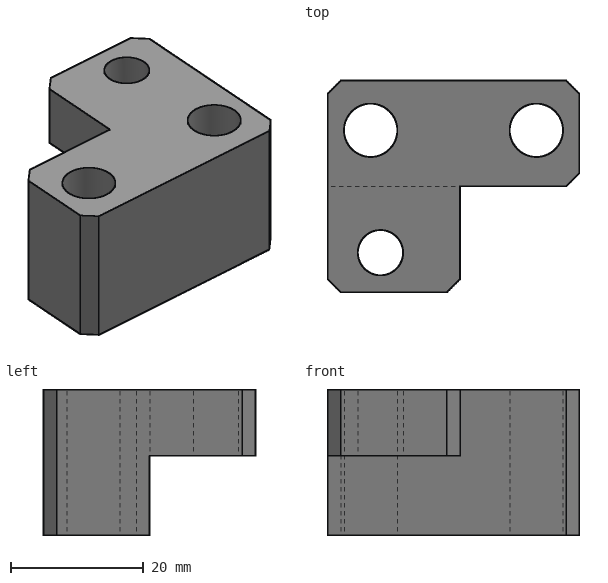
import cadquery as cq

length = 38.0
depth = 32.0
height = 22.0

bar_depth = 16.0
foot_width = 20.0
foot_thickness = 10.0
corner_chamfer = 2.0

bar_hole_diameter = 8.0
bar_hole_inset = 6.5
bar_hole_spacing = 25.0
bar_hole_from_back = 7.52
foot_hole_diameter = 6.8
foot_hole_x = 7.98
foot_hole_y = 6.0

bar_front = depth - bar_depth


def make_bar():
    """Full-height bar, chamfered everywhere except its front left edge."""
    bar = cq.Workplane("XY").box(length, bar_depth, height, centered=False)
    bar = bar.edges("|Z and (>X or >Y)").chamfer(corner_chamfer)
    return bar.translate((0, bar_front, 0))


def make_foot():
    """Thinner foot, flush with the top of the bar and chamfered at its front corners."""
    foot = cq.Workplane("XY").box(foot_width, bar_front, foot_thickness, centered=False)
    foot = foot.edges("|Z and <Y").chamfer(corner_chamfer)
    return foot.translate((0, 0, height - foot_thickness))


def make_hole(x, y, diameter):
    """Vertical cylinder that cuts through the whole height."""
    return cq.Workplane("XY").center(x, y).circle(diameter / 2).extrude(height)


result = make_bar().union(make_foot())

bar_hole_y = depth - bar_hole_from_back
for hole_x in (bar_hole_inset, bar_hole_inset + bar_hole_spacing):
    result = result.cut(make_hole(hole_x, bar_hole_y, bar_hole_diameter))
result = result.cut(make_hole(foot_hole_x, foot_hole_y, foot_hole_diameter))